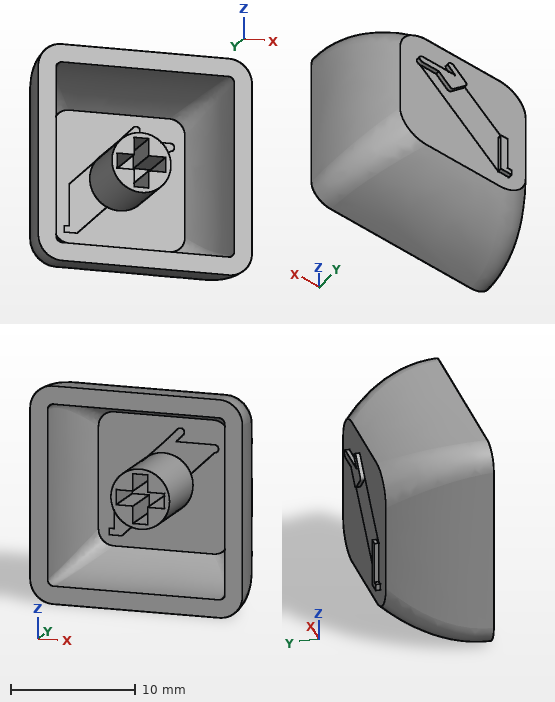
import cadquery as cq
import math


CAP_WIDTH = 18.1
CAP_HEIGHT = 8.29
WALL = 1.5
SIDE_RADIUS = 14.08
RIM_CORNER = 1.97
TOP_CORNER = 2.7
CAVITY_RIM_CORNER = 0.52
CAVITY_FLOOR_CORNER = 1.3
CORNER_GROWTH = 1.5
SECTION_COUNT = 7
FLOOR_Y = CAP_HEIGHT - WALL

STEM_DIAMETER = 5.0
STEM_START_Y = 1.0
CROSS_LENGTH = 4.13
CROSS_WIDTH = 1.25
CROSS_DEPTH = 4.0

TOTAL_HEIGHT = 8.65
BAR_LEFT = -4.24
BAR_RIGHT = -3.57
BAR_TOP = -0.62
FOOT_LEFT = -4.65
FOOT_TOP = -4.13
FOOT_BOTTOM = -4.67
PRONG_RADIUS = 0.33
DIAGONAL_PRONG_X = 1.43
DIAGONAL_PRONG_Z = 4.35
LEVEL_PRONG_X = 4.35
LEVEL_PRONG_Z = 3.19
SHAFT_WIDTH = 2.28
SHAFT_END = 2.1
SHAFT_CORNER = 0.27

SLOPE = math.sqrt(0.5)


def section_plane(y):
    """Plane across the cap at height y, with X to the right and Z up."""
    return cq.Workplane("XZ", origin=(0, y, 0))


def extrude_between(outline, start_y, end_y):
    """Solid prism of a closed (x, z) outline, from start_y up to end_y."""
    return outline(section_plane(start_y)).extrude(start_y - end_y)


def bowed_block(rim_width, side_radius, height, rim_corner, end_corner):
    """Rounded square block whose sides bow inward and whose corners grow with height."""
    sections = []
    for index in range(SECTION_COUNT):
        fraction = index / (SECTION_COUNT - 1)
        y = height * fraction
        inset = side_radius - math.sqrt(side_radius**2 - y**2)
        width = rim_width - 2 * inset
        corner = rim_corner + (end_corner - rim_corner) * fraction**CORNER_GROWTH
        square = section_plane(y).rect(width, width).wires().val()
        sections.append(square.fillet2D(corner, square.Vertices()))
    return cq.Workplane(cq.Solid.makeLoft(sections))


def make_stem():
    stem = section_plane(STEM_START_Y).circle(STEM_DIAMETER / 2).extrude(STEM_START_Y - FLOOR_Y)
    for length_x, length_z in ((CROSS_LENGTH, CROSS_WIDTH), (CROSS_WIDTH, CROSS_LENGTH)):
        stem = stem.cut(section_plane(STEM_START_Y).rect(length_x, length_z).extrude(-CROSS_DEPTH))
    return stem


PRONG_OFFSET = PRONG_RADIUS * SLOPE
DIAGONAL_PRONG_UPPER = (DIAGONAL_PRONG_X - PRONG_OFFSET, DIAGONAL_PRONG_Z + PRONG_OFFSET)
DIAGONAL_PRONG_TIP = (DIAGONAL_PRONG_X + PRONG_OFFSET, DIAGONAL_PRONG_Z + PRONG_OFFSET)
DIAGONAL_PRONG_LOWER = (DIAGONAL_PRONG_X + PRONG_OFFSET, DIAGONAL_PRONG_Z - PRONG_OFFSET)
LEVEL_PRONG_UPPER = (LEVEL_PRONG_X, LEVEL_PRONG_Z + PRONG_RADIUS)
LEVEL_PRONG_TIP = (LEVEL_PRONG_X + PRONG_RADIUS, LEVEL_PRONG_Z)
LEVEL_PRONG_LOWER = (LEVEL_PRONG_X, LEVEL_PRONG_Z - PRONG_RADIUS)
NOTCH = (
    LEVEL_PRONG_UPPER[1] - DIAGONAL_PRONG_LOWER[1] + DIAGONAL_PRONG_LOWER[0],
    LEVEL_PRONG_UPPER[1],
)

SHAFT_EDGE = (DIAGONAL_PRONG_UPPER[1] - DIAGONAL_PRONG_UPPER[0]) * SLOPE
SHAFT_UPPER = ((SHAFT_END - SHAFT_EDGE) * SLOPE, (SHAFT_END + SHAFT_EDGE) * SLOPE)
SHAFT_LOWER = (SHAFT_UPPER[0] + SHAFT_WIDTH * SLOPE, SHAFT_UPPER[1] - SHAFT_WIDTH * SLOPE)
SHAFT_INNER = (LEVEL_PRONG_LOWER[1] - SHAFT_LOWER[1] + SHAFT_LOWER[0], LEVEL_PRONG_LOWER[1])
SHAFT_SHOULDER = (SHAFT_UPPER[0] + SHAFT_CORNER * SLOPE, SHAFT_UPPER[1] + SHAFT_CORNER * SLOPE)


def prongs(path):
    """Continue a path over both prongs, from the diagonal one to the underside of the level one."""
    return (
        path.lineTo(*DIAGONAL_PRONG_UPPER)
        .threePointArc(DIAGONAL_PRONG_TIP, DIAGONAL_PRONG_LOWER)
        .lineTo(*NOTCH)
        .lineTo(*LEVEL_PRONG_UPPER)
        .threePointArc(LEVEL_PRONG_TIP, LEVEL_PRONG_LOWER)
    )


def foot_and_bar(plane):
    """Path round the foot to the top left corner of the bar."""
    return (
        plane.moveTo(BAR_RIGHT, FOOT_BOTTOM)
        .lineTo(FOOT_LEFT, FOOT_BOTTOM)
        .lineTo(FOOT_LEFT, FOOT_TOP)
        .lineTo(BAR_LEFT, FOOT_TOP)
        .lineTo(BAR_LEFT, BAR_TOP)
    )


def base_outline(plane):
    """Footed bar and arrow head joined by two slanting lines."""
    return prongs(foot_and_bar(plane).lineTo(*SHAFT_SHOULDER)).close()


def footed_bar_outline(plane):
    return foot_and_bar(plane).lineTo(BAR_RIGHT, BAR_TOP).close()


def arrow_outline(plane):
    return prongs(plane.moveTo(*SHAFT_UPPER)).lineTo(*SHAFT_INNER).lineTo(*SHAFT_LOWER).close()


def make_raised_arrow():
    arrow = extrude_between(arrow_outline, CAP_HEIGHT, TOTAL_HEIGHT)
    for x, z in (SHAFT_UPPER, SHAFT_LOWER):
        corner = cq.selectors.NearestToPointSelector((x, (CAP_HEIGHT + TOTAL_HEIGHT) / 2, z))
        arrow = arrow.edges("|Y").edges(corner).fillet(SHAFT_CORNER)
    return arrow


def make_legend():
    base = extrude_between(base_outline, FLOOR_Y, CAP_HEIGHT)
    raised_bar = extrude_between(footed_bar_outline, CAP_HEIGHT, TOTAL_HEIGHT)
    return base.union(raised_bar).union(make_raised_arrow())


def make_cap():
    outside = bowed_block(CAP_WIDTH, SIDE_RADIUS, CAP_HEIGHT, RIM_CORNER, TOP_CORNER)
    cavity = bowed_block(
        CAP_WIDTH - 2 * WALL, SIDE_RADIUS - WALL, FLOOR_Y, CAVITY_RIM_CORNER, CAVITY_FLOOR_CORNER
    )
    legend_slot = extrude_between(base_outline, FLOOR_Y, CAP_HEIGHT)
    return outside.cut(cavity).cut(legend_slot).union(make_stem())


cap = make_cap()
legend = make_legend()
result = cq.Compound.makeCompound([cap.solids().val(), legend.solids().val()])